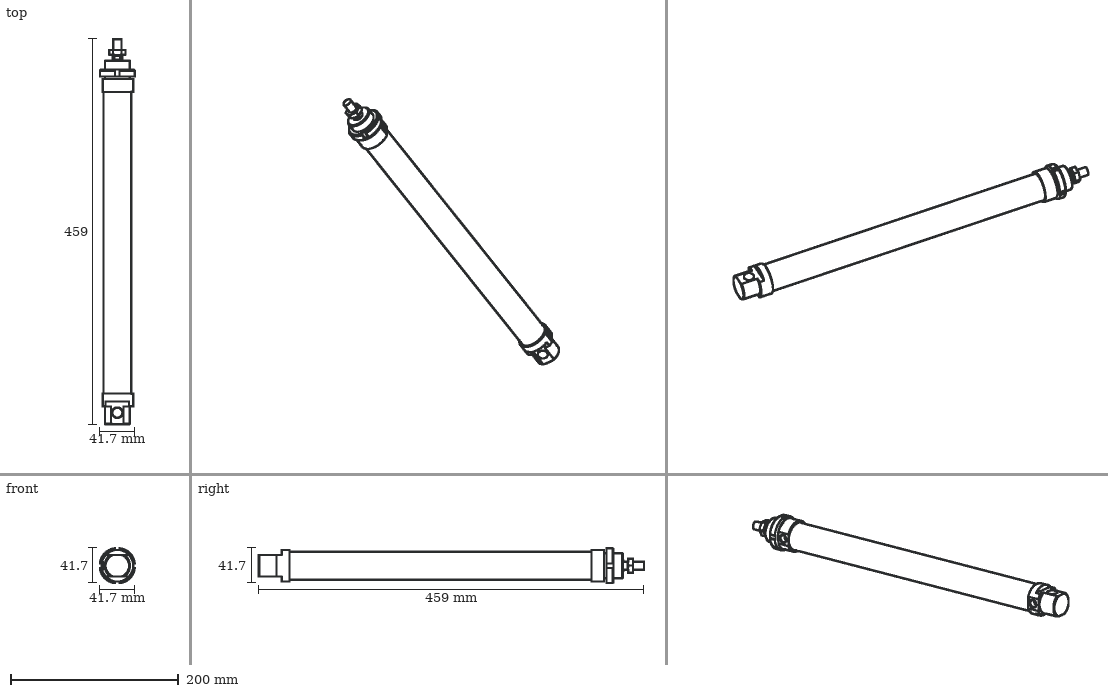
import cadquery as cq
import math

overall_length = 459.0

tube_diameter = 33.6
cap_diameter = 38.0
collar_diameter = 30.0
lug_diameter = collar_diameter
lug_chamfer = 1.0

lug_length = 21.5
rear_cap_length = 15.3
front_cap_length = 15.3
collar_length = 22.2
collar_end_y = overall_length - 25.3
collar_chamfer = 1.0
front_cap_end_y = collar_end_y - collar_length
front_cap_start_y = front_cap_end_y - front_cap_length
rear_cap_end_y = lug_length + rear_cap_length

lug_thickness = 26.0
lug_flat_length = 27.5
pivot_hole_diameter = 12.0
pivot_hole_y = 14.0

port_flat_x = -17.5
port_diameter = 8.8
port_depth = 8.0
port_chamfer = 0.5
front_port_y = overall_length - 54.9
rear_port_y = 29.5

rod_diameter = 12.0
rod_thread_diameter = 10.0
rod_thread_length = 20.0
rod_flats_width = 10.0
rod_flats_length = 4.5
rod_shoulder_y = overall_length - rod_thread_length

hexagon_sides = 6
hexagon_corner_angle = 180 / hexagon_sides
lock_nut_width = 17.0
lock_nut_corner_diameter = lock_nut_width / math.cos(math.pi / hexagon_sides)
lock_nut_chamfer = 0.7
lock_nut_thickness = 6.0
lock_nut_front_y = overall_length - 13.0

mounting_nut_diameter = 42.0
mounting_nut_thickness = 8.5
mounting_nut_front_y = overall_length - 36.3
mounting_nut_chamfer = 1.5
nut_slot_width = 5.0
nut_slot_depth = 2.0
nut_slot_count = 4


def cylinder_y(diameter, start_y, end_y):
    """Solid cylinder on the Y axis between two Y positions."""
    return cq.Workplane("XZ", origin=(0, start_y, 0)).circle(diameter / 2).extrude(start_y - end_y)


def box_y(size_x, size_z, start_y, end_y):
    """Box centred on the Y axis between two Y positions."""
    return (
        cq.Workplane("XZ", origin=(0, start_y, 0))
        .rect(size_x, size_z)
        .extrude(start_y - end_y)
    )


def make_cap(start_y, end_y):
    """End cap with a flat on the -X side."""
    cap = cylinder_y(cap_diameter, start_y, end_y)
    flat_cut = box_y(cap_diameter, cap_diameter, start_y, end_y).translate(
        (port_flat_x - cap_diameter / 2, 0, 0)
    )
    return cap.cut(flat_cut)


def make_port(port_y):
    """Tool shape for a blind port with a chamfered mouth, entering from the -X side."""
    port = (
        cq.Workplane("YZ", origin=(port_flat_x, port_y, 0))
        .circle(port_diameter / 2)
        .extrude(port_depth)
    )
    mouth = (
        cq.Workplane("YZ", origin=(port_flat_x, port_y, 0))
        .circle(port_diameter / 2 + port_chamfer)
        .workplane(offset=port_chamfer)
        .circle(port_diameter / 2)
        .loft()
    )
    return port.union(mouth)


def make_housing():
    lug = cylinder_y(lug_diameter, 0, lug_length).faces("<Y").chamfer(lug_chamfer)
    collar = cylinder_y(collar_diameter, front_cap_end_y, collar_end_y).faces(">Y").chamfer(collar_chamfer)
    housing = (
        cylinder_y(tube_diameter, rear_cap_end_y, front_cap_start_y)
        .union(make_cap(lug_length, rear_cap_end_y))
        .union(make_cap(front_cap_start_y, front_cap_end_y))
        .union(lug)
        .union(collar)
    )

    rear_slab = box_y(cap_diameter, lug_thickness, 0, lug_flat_length)
    rear_block = box_y(cap_diameter, cap_diameter, 0, lug_flat_length)
    housing = housing.cut(rear_block.cut(rear_slab))

    pivot_hole = (
        cq.Workplane("XY", origin=(0, pivot_hole_y, 0))
        .circle(pivot_hole_diameter / 2)
        .extrude(lug_thickness, both=True)
    )
    housing = housing.cut(pivot_hole)

    for port_y in (rear_port_y, front_port_y):
        housing = housing.cut(make_port(port_y))

    rod_bore = cylinder_y(rod_diameter, front_cap_start_y, collar_end_y)
    return housing.cut(rod_bore)


def make_rod():
    """Rod seated in the front cap, with wrench flats behind the thread."""
    shank = cylinder_y(rod_diameter, front_cap_start_y, rod_shoulder_y)
    flats_start_y = rod_shoulder_y - rod_flats_length
    flats_blank = cylinder_y(rod_diameter, flats_start_y, rod_shoulder_y)
    flats_slab = box_y(rod_diameter, rod_flats_width, flats_start_y, rod_shoulder_y)
    thread = cylinder_y(rod_thread_diameter, rod_shoulder_y, overall_length)
    return shank.cut(flats_blank.cut(flats_slab)).union(thread)


def make_lock_nut():
    """Hexagonal nut with corners pointing along X and its rear face chamfered."""
    back_y = lock_nut_front_y - lock_nut_thickness
    blank = (
        cq.Workplane("XZ", origin=(0, back_y, 0))
        .polygon(hexagon_sides, lock_nut_width, circumscribed=True)
        .extrude(-lock_nut_thickness)
        .rotate((0, 0, 0), (0, 1, 0), hexagon_corner_angle)
    )
    chamfer_envelope = cylinder_y(lock_nut_corner_diameter, back_y, lock_nut_front_y)
    chamfer_envelope = chamfer_envelope.faces("<Y").chamfer(lock_nut_chamfer)
    nut = blank.intersect(chamfer_envelope)
    return nut.cut(cylinder_y(rod_thread_diameter, back_y, lock_nut_front_y))


def make_mounting_nut():
    """Round nut with slots across its rim, at +X, -X, +Z and -Z."""
    back_y = mounting_nut_front_y - mounting_nut_thickness
    nut = cylinder_y(mounting_nut_diameter, back_y, mounting_nut_front_y)
    nut = nut.faces(">Y").chamfer(mounting_nut_chamfer)
    slot = box_y(nut_slot_width, 2 * nut_slot_depth, back_y, mounting_nut_front_y).translate(
        (0, 0, mounting_nut_diameter / 2)
    )
    for index in range(nut_slot_count):
        angle = index * 360 / nut_slot_count
        nut = nut.cut(slot.rotate((0, 0, 0), (0, 1, 0), angle))
    return nut.cut(cylinder_y(collar_diameter, back_y, mounting_nut_front_y))


housing = make_housing()
rod = make_rod()
lock_nut = make_lock_nut()
mounting_nut = make_mounting_nut()

result = cq.Compound.makeCompound(
    [housing.val(), rod.val(), lock_nut.val(), mounting_nut.val()]
)